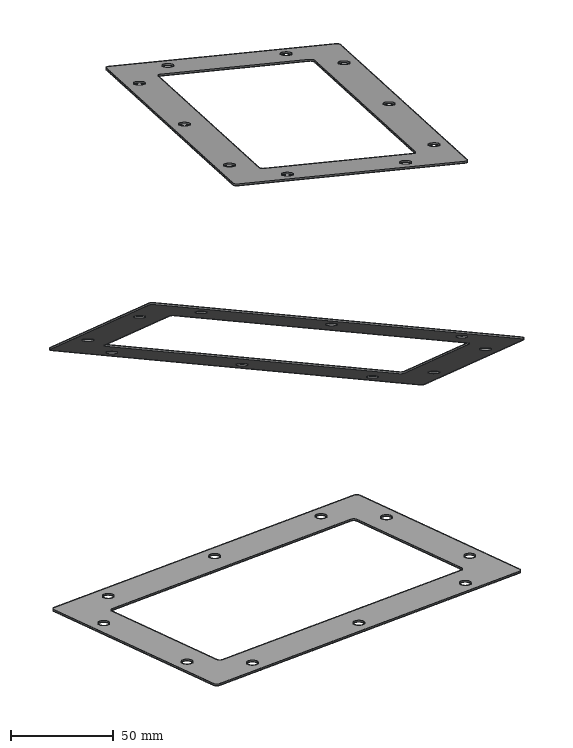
import cadquery as cq

length = 200.0
width = 120.0
thickness = 1.0
corner_radius = 2.0

border = 20.0
window_length = length - 2 * border
window_width = width - 2 * border

hole_diameter = 5.8
hole_inset = 7.5
hole_row_x = length / 2 - hole_inset
hole_row_y = width / 2 - hole_inset
long_side_pitch = 69.5
short_side_spacing = 60.5


def rounded_plate(size_x, size_y):
    """Plate centred on the origin with rounded vertical edges."""
    plate = cq.Workplane("XY").box(size_x, size_y, thickness)
    return plate.edges("|Z").fillet(corner_radius)


def hole_centres():
    """Three holes along each long side and two along each short side."""
    centres = []
    for side in (-1, 1):
        for step in (-1, 0, 1):
            centres.append((step * long_side_pitch, side * hole_row_y))
        for end in (-1, 1):
            centres.append((side * hole_row_x, end * short_side_spacing / 2))
    return centres


frame = rounded_plate(length, width)
window = rounded_plate(window_length, window_width)

result = (
    frame.cut(window)
    .faces(">Z")
    .workplane(origin=(0, 0, 0))
    .pushPoints(hole_centres())
    .hole(hole_diameter)
)